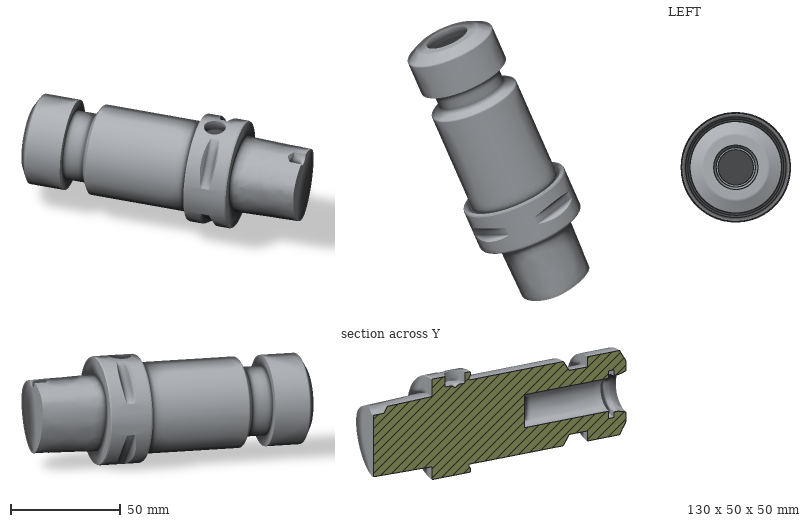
import cadquery as cq
import math

total_length = 130.0
shank_length = 30.0
flange_length = 20.0
flange_end = total_length - shank_length
flange_start = flange_end - flange_length

nut_radius = 42.0 / 2
nut_length = 20.0
nut_cone_length = 3.4
nut_face_radius = nut_radius - nut_cone_length * math.tan(math.radians(60))
nut_face_rounding = 2.1
neck_radius = 32.0 / 2
body_start = 29.2
body_cone_length = 3.0
body_radius = 42.0 / 2
cone_rounding = 0.9
body_groove_start = 78.4
body_groove_width = 0.6
body_groove_depth = 0.06

flange_radius = 50.0 / 2
flange_chamfer_length = 0.6
flange_chamfer_height = 0.3
face_groove_depth = 0.6
face_groove_floor_radius = 22.0
face_groove_mouth_radius = 23.0

mouth_radius = 20.3 / 2
lip_radius = 18.0 / 2
mouth_cone_length = 4.0
lip_end = 6.5
undercut_end = 9.0
undercut_radius = 11.7
bore_radius = 8.0
bore_end = 52.0

shank_mean_radius = 17.5
lobe_height = 1.1
taper = 1 / 40
lobe_count = 3
points_per_lobe = 12

groove_count = 4
groove_floor_width = 3.8
groove_floor_distance = 22.1
groove_rounding = 0.6
groove_side_angle = 30
groove_position = flange_start + flange_length / 2

pocket_position = 87.9
pocket_radius = 10.0 / 2
pocket_depth = 5.2
pilot_radius = 4.0 / 2
pilot_tip_depth = 1.3

notch_radius = 4.0
notch_length = 5.5
notch_tip_length = 2.3
notch_height = 16.8

axis_start = (0, 0, 0)
axis_end = (1, 0, 0)


def revolve_about_x(points):
    """Solid of revolution from (x, radius) points."""
    return cq.Workplane("XY").polyline(points).close().revolve(360, axis_start, axis_end)


def round_circle(solid, x, radius, rounding):
    """Round the circular edge at a given x and radius."""
    tolerance = 0.01

    def is_wanted(edge):
        on_plane = edge.BoundingBox().xlen < tolerance and abs(edge.Center().x - x) < tolerance
        return on_plane and edge.geomType() == "CIRCLE" and abs(edge.radius() - radius) < tolerance

    edges = solid.edges().filter(is_wanted)
    return edges.fillet(rounding)


def make_nut_and_body():
    cone_end = body_start + body_cone_length
    groove_end = body_groove_start + body_groove_width
    groove_radius = body_radius - body_groove_depth
    solid = revolve_about_x([
        (0, 0),
        (0, nut_face_radius),
        (nut_cone_length, nut_radius),
        (nut_length, nut_radius),
        (nut_length, neck_radius),
        (body_start, neck_radius),
        (cone_end, body_radius),
        (body_groove_start, body_radius),
        (body_groove_start, groove_radius),
        (groove_end, groove_radius),
        (groove_end, body_radius),
        (flange_end, body_radius),
        (flange_end, 0),
    ])
    solid = round_circle(solid, 0, nut_face_radius, nut_face_rounding)
    solid = round_circle(solid, nut_cone_length, nut_radius, cone_rounding)
    solid = round_circle(solid, body_start, neck_radius, cone_rounding)
    return round_circle(solid, cone_end, body_radius, cone_rounding)


def make_flange():
    rim_radius = flange_radius - flange_chamfer_height
    return revolve_about_x([
        (flange_start + face_groove_depth, 0),
        (flange_start + face_groove_depth, face_groove_floor_radius),
        (flange_start, face_groove_mouth_radius),
        (flange_start, rim_radius),
        (flange_start + flange_chamfer_length, flange_radius),
        (flange_end - flange_chamfer_length, flange_radius),
        (flange_end, rim_radius),
        (flange_end, 0),
    ])


def lobed_outline(mean_radius):
    """Curve whose tangent lines lie at mean_radius + lobe_height * cos(3 angle) from the axis."""
    point_count = lobe_count * points_per_lobe
    points = []
    for i in range(point_count):
        angle = 2 * math.pi * i / point_count
        phase = lobe_count * (angle + math.pi / 2)
        reach = mean_radius + lobe_height * math.cos(phase)
        slide = -lobe_count * lobe_height * math.sin(phase)
        y = reach * math.cos(angle) - slide * math.sin(angle)
        z = reach * math.sin(angle) + slide * math.cos(angle)
        points.append((y, z))
    return points


def make_shank():
    end_radius = shank_mean_radius - taper * shank_length
    return (
        cq.Workplane("YZ", origin=(flange_end, 0, 0))
        .spline(lobed_outline(shank_mean_radius), periodic=True).close()
        .workplane(offset=shank_length)
        .spline(lobed_outline(end_radius), periodic=True).close()
        .loft()
    )


def make_bore():
    return revolve_about_x([
        (0, 0),
        (0, mouth_radius),
        (mouth_cone_length, lip_radius),
        (lip_end, lip_radius),
        (lip_end, undercut_radius),
        (undercut_end, undercut_radius),
        (undercut_end, bore_radius),
        (bore_end, bore_radius),
        (bore_end, 0),
    ])


def make_gripper_groove(angle):
    """Flat-floored groove with sloping sides, cut as a chord across the flange."""
    depth = flange_radius - groove_floor_distance
    floor_half = groove_floor_width / 2
    top_half = floor_half + depth * math.tan(math.radians(groove_side_angle))
    return (
        cq.Workplane("XZ")
        .polyline([
            (groove_position - floor_half, groove_floor_distance),
            (groove_position + floor_half, groove_floor_distance),
            (groove_position + top_half, flange_radius),
            (groove_position - top_half, flange_radius),
        ]).close()
        .extrude(flange_radius, both=True)
        .edges("|Y and <Z").fillet(groove_rounding)
        .rotate(axis_start, axis_end, angle)
    )


def make_pocket():
    floor = flange_radius - pocket_depth
    profile = [
        (0, floor - pilot_tip_depth),
        (pilot_radius, floor),
        (pocket_radius, floor),
        (pocket_radius, flange_radius),
        (0, flange_radius),
    ]
    pocket = cq.Workplane("XZ").polyline(profile).close().revolve(360, (0, 0, 0), (0, 1, 0))
    return pocket.translate((pocket_position, 0, 0))


def make_notch():
    notch_start = total_length - notch_length
    notch = revolve_about_x([
        (notch_start - notch_tip_length, 0),
        (notch_start, notch_radius),
        (total_length, notch_radius),
        (total_length, 0),
    ])
    return notch.translate((0, 0, notch_height))


part = make_nut_and_body().union(make_flange()).union(make_shank())
part = part.cut(make_bore()).cut(make_pocket()).cut(make_notch())
for i in range(groove_count):
    part = part.cut(make_gripper_groove(45 + i * 360 / groove_count))

result = part